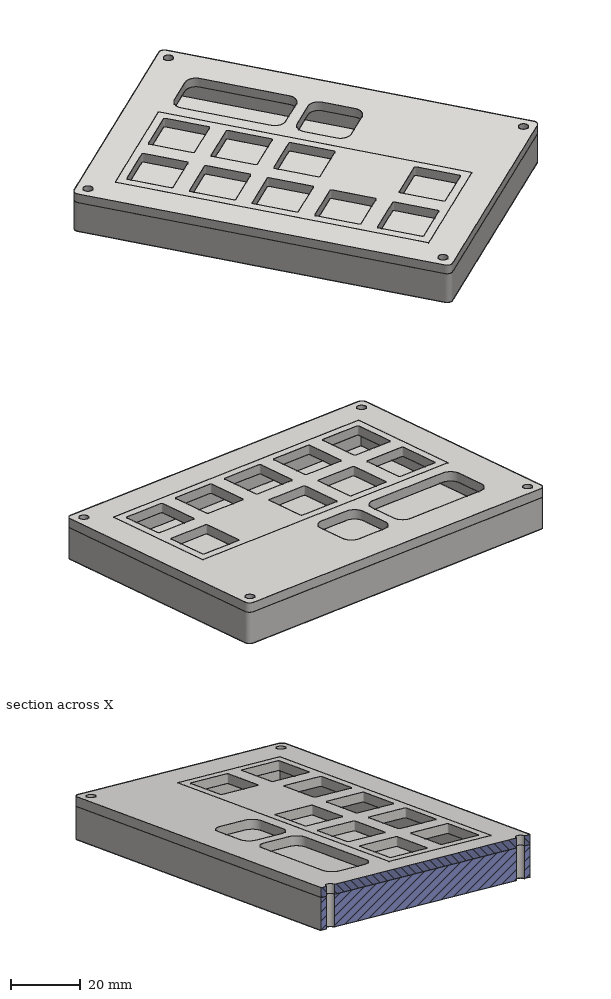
import cadquery as cq

LENGTH = 115.0
WIDTH = 78.0
HEIGHT = 13.0
CORNER_RADIUS = 1.7

COVER_THICKNESS = 3.0
CASE_HEIGHT = HEIGHT - COVER_THICKNESS
WALL = 6.0
FLOOR = 2.4

SCREW_DIAMETER = 2.9
SCREW_INSET = 3.6

WINDOW_WIDTH = 16.0
WINDOW_RADIUS = 3.3
WINDOW_Y = 20.4
LARGE_WINDOW_LENGTH = 33.8
LARGE_WINDOW_X = -28.4
SMALL_WINDOW_LENGTH = 16.5
SMALL_WINDOW_X = 0.2

KEY_COLUMNS = 5
KEY_ROWS = 2
KEY_PLATE_LENGTH = 95.2
KEY_PITCH = KEY_PLATE_LENGTH / KEY_COLUMNS
KEY_PLATE_WIDTH = KEY_PITCH * KEY_ROWS
KEY_PLATE_X = 0.0
KEY_PLATE_Y = -10.7
KEY_OPENING = 14.0
KEY_RADIUS = 0.5
BLANK_CELLS = [(3, 1)]


def rounded_block(length, width, height, radius):
    """Block standing on Z = 0 with rounded vertical edges."""
    block = cq.Workplane("XY").box(length, width, height, centered=(True, True, False))
    return block.edges("|Z").fillet(radius)


def screw_holes():
    """Four cylinders the full height of the enclosure, one near each corner."""
    spacing_x = LENGTH - 2 * SCREW_INSET
    spacing_y = WIDTH - 2 * SCREW_INSET
    corners = cq.Workplane("XY").rect(spacing_x, spacing_y, forConstruction=True).vertices()
    return corners.circle(SCREW_DIAMETER / 2).extrude(HEIGHT)


def make_case():
    """Open-topped tray whose thick rim carries the cover."""
    tray = rounded_block(LENGTH, WIDTH, CASE_HEIGHT, CORNER_RADIUS)
    cavity = cq.Workplane("XY").workplane(offset=FLOOR)
    cavity = cavity.rect(LENGTH - 2 * WALL, WIDTH - 2 * WALL).extrude(CASE_HEIGHT - FLOOR)
    return tray.cut(cavity).cut(screw_holes())


def make_cover():
    """Flat cover with two rounded windows and a rectangular opening for the key plate."""
    cover = rounded_block(LENGTH, WIDTH, COVER_THICKNESS, CORNER_RADIUS)
    for window_length, window_x in (
        (LARGE_WINDOW_LENGTH, LARGE_WINDOW_X),
        (SMALL_WINDOW_LENGTH, SMALL_WINDOW_X),
    ):
        window = rounded_block(window_length, WINDOW_WIDTH, COVER_THICKNESS, WINDOW_RADIUS)
        cover = cover.cut(window.translate((window_x, WINDOW_Y, 0)))
    plate_opening = cq.Workplane("XY").center(KEY_PLATE_X, KEY_PLATE_Y)
    plate_opening = plate_opening.rect(KEY_PLATE_LENGTH, KEY_PLATE_WIDTH).extrude(COVER_THICKNESS)
    cover = cover.cut(plate_opening).cut(screw_holes())
    return cover.translate((0, 0, CASE_HEIGHT))


def make_key_plate():
    """Plate flush with the cover, pierced by the key openings."""
    plate = cq.Workplane("XY").rect(KEY_PLATE_LENGTH, KEY_PLATE_WIDTH).extrude(COVER_THICKNESS)
    opening = rounded_block(KEY_OPENING, KEY_OPENING, COVER_THICKNESS, KEY_RADIUS)
    for column in range(KEY_COLUMNS):
        for row in range(KEY_ROWS):
            if (column, row) in BLANK_CELLS:
                continue
            key_x = (column - (KEY_COLUMNS - 1) / 2) * KEY_PITCH
            key_y = (row - (KEY_ROWS - 1) / 2) * KEY_PITCH
            plate = plate.cut(opening.translate((key_x, key_y, 0)))
    return plate.translate((KEY_PLATE_X, KEY_PLATE_Y, CASE_HEIGHT))


case = make_case()
cover = make_cover()
key_plate = make_key_plate()

result = cq.Compound.makeCompound([case.val(), cover.val(), key_plate.val()])